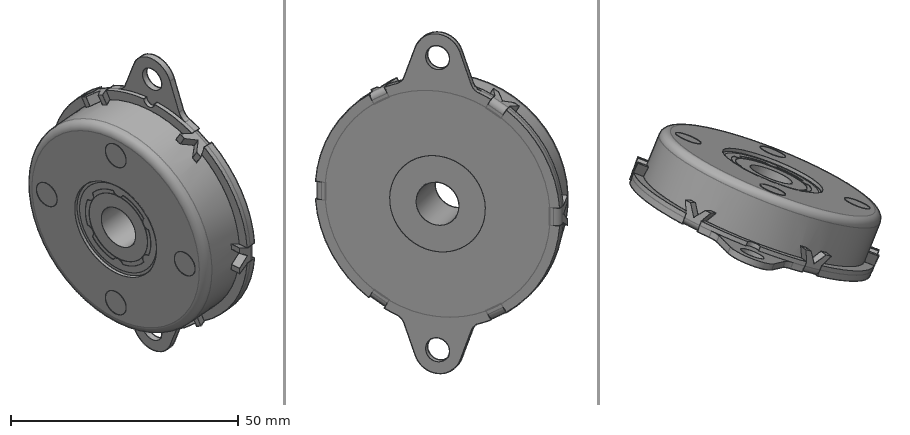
import cadquery as cq
import math


HEIGHT = 13.8
RIM_RADIUS = 28.5
PLATE_THICKNESS = 1.5
FLANGE_THICKNESS = 1.0
RIM_THICKNESS = PLATE_THICKNESS + FLANGE_THICKNESS
CAN_RADIUS = 26.2
CAN_EDGE_FILLET = 2.0
FLANGE_NOTCH_RADIUS = 1.5

EAR_COUNT = 2
EAR_REACH = 39.5
EAR_TIP_RADIUS = 5.5
EAR_HOLE_OFFSET = EAR_REACH - EAR_TIP_RADIUS
EAR_HOLE_RADIUS = 2.8
EAR_SIDE_ANGLE = math.radians(20)
EAR_ROOT_FILLET = 3.0

CLAW_COUNT = 6
CLAW_NECK_WIDTH = 4.1
CLAW_TIP_WIDTH = 6.95
CLAW_TIP_DEPTH = 5.1
CLAW_BEND_RADIUS = PLATE_THICKNESS
CLAW_ROOT_X = math.sqrt(CAN_RADIUS**2 - (CLAW_TIP_WIDTH / 2)**2)

MARK_COUNT = 4
MARK_RADIUS = 3.0
MARK_OFFSET = 20.0
MARK_DEPTH = 0.1

SEAT_RADIUS = 11.85
SEAT_DEPTH = 0.8
ROTOR_RADIUS = 11.1
SPLINE_RADIUS = 9.5
SPLINE_DEPTH = 0.1
TOOTH_COUNT = 6
HUB_RADIUS = 8.45
HUB_DEPTH = 0.15
TOOTH_RADIUS = 1.5
TOOTH_OFFSET = HUB_RADIUS + TOOTH_RADIUS
BORE_RADIUS = 5.0


def disc(radius, back_depth, front_depth, x=0.0, z=0.0):
    """Cylinder along Y between two depths measured forward from the mounting face."""
    return cq.Workplane(cq.Solid.makeCylinder(
        radius, front_depth - back_depth, cq.Vector(x, -back_depth, z), cq.Vector(0, -1, 0)))


def around_axis(shape, count):
    """Copies of a shape spaced evenly about the Y axis."""
    return [shape.rotate((0, 0, 0), (0, 1, 0), i * 360 / count) for i in range(count)]


def ear_profile():
    """Closed outline of the upper ear, from a foot inside the plate up to its round tip."""
    tangent_x = EAR_TIP_RADIUS * math.cos(EAR_SIDE_ANGLE)
    tangent_z = EAR_HOLE_OFFSET + EAR_TIP_RADIUS * math.sin(EAR_SIDE_ANGLE)
    foot_z = RIM_RADIUS / 2
    foot_x = tangent_x + (tangent_z - foot_z) * math.tan(EAR_SIDE_ANGLE)
    return (
        cq.Workplane("XZ")
        .moveTo(-foot_x, foot_z)
        .lineTo(-tangent_x, tangent_z)
        .threePointArc((0, EAR_REACH), (tangent_x, tangent_z))
        .lineTo(foot_x, foot_z)
        .close()
    )


def mounting_plate():
    """Round plate with two filleted, drilled ears."""
    plate = disc(RIM_RADIUS, 0, PLATE_THICKNESS)
    for ear in around_axis(ear_profile().extrude(PLATE_THICKNESS), EAR_COUNT):
        plate = plate.union(ear)
    root_reach = 2 * EAR_TIP_RADIUS
    root_box = cq.selectors.BoxSelector(
        (-root_reach, -PLATE_THICKNESS, -EAR_HOLE_OFFSET), (root_reach, 0, EAR_HOLE_OFFSET))
    plate = plate.edges("|Y").edges(root_box).fillet(EAR_ROOT_FILLET)
    for hole in around_axis(disc(EAR_HOLE_RADIUS, 0, PLATE_THICKNESS, z=EAR_HOLE_OFFSET), EAR_COUNT):
        plate = plate.cut(hole)
    return plate


def flange():
    """Ring in front of the plate, with a round notch in front of each ear."""
    ring = disc(RIM_RADIUS, PLATE_THICKNESS, RIM_THICKNESS)
    notch = disc(FLANGE_NOTCH_RADIUS, PLATE_THICKNESS, RIM_THICKNESS, z=RIM_RADIUS)
    for one_notch in around_axis(notch, EAR_COUNT):
        ring = ring.cut(one_notch)
    return ring


def can():
    """Round can with a rounded front edge."""
    return disc(CAN_RADIUS, 0, HEIGHT).faces("<Y").edges().fillet(CAN_EDGE_FILLET)


def claw_slot():
    """Slot through the rim on the +X side that leaves room for one claw neck."""
    return cq.Workplane("XY").box(
        RIM_RADIUS, RIM_THICKNESS, CLAW_NECK_WIDTH, centered=(False, False, True)
    ).translate((CLAW_ROOT_X, -RIM_THICKNESS, 0))


def claw():
    """Claw on the +X side: a neck bent forward from the plate that forks into two splayed prongs."""
    neck = CLAW_NECK_WIDTH / 2
    tip = CLAW_TIP_WIDTH / 2
    blank = (
        cq.Workplane("YZ", origin=(CLAW_ROOT_X, 0, 0))
        .polyline([
            (0, -neck), (-RIM_THICKNESS, -neck), (-CLAW_TIP_DEPTH, -tip),
            (-CLAW_TIP_DEPTH, -neck), (-RIM_THICKNESS, 0), (-CLAW_TIP_DEPTH, neck),
            (-CLAW_TIP_DEPTH, tip), (-RIM_THICKNESS, neck), (0, neck),
        ])
        .close()
        .extrude(RIM_RADIUS - CLAW_ROOT_X)
    )
    return blank.faces(">Y").edges(">X").fillet(CLAW_BEND_RADIUS)


def make_housing():
    """Plate, flange, can and claws in one piece, with the stepped opening for the rotor."""
    housing = mounting_plate().union(flange(), clean=False)
    for slot in around_axis(claw_slot(), CLAW_COUNT):
        housing = housing.cut(slot, clean=False)
    housing = housing.union(can(), clean=False)
    for one_claw in around_axis(claw(), CLAW_COUNT):
        housing = housing.union(one_claw, clean=False)
    for mark in around_axis(disc(MARK_RADIUS, HEIGHT - MARK_DEPTH, HEIGHT, x=MARK_OFFSET), MARK_COUNT):
        housing = housing.cut(mark, clean=False)
    housing = housing.cut(disc(SEAT_RADIUS, HEIGHT - SEAT_DEPTH, HEIGHT), clean=False)
    return housing.cut(disc(ROTOR_RADIUS, 0, HEIGHT), clean=False)


def make_rotor():
    """Bored rotor, flush with its seat, with a shallow toothed recess around a lower hub face."""
    face_depth = HEIGHT - SEAT_DEPTH
    rotor = disc(ROTOR_RADIUS, 0, face_depth)
    recess = disc(SPLINE_RADIUS, face_depth - SPLINE_DEPTH, face_depth)
    tooth = disc(TOOTH_RADIUS, face_depth - SPLINE_DEPTH, face_depth, z=TOOTH_OFFSET)
    for one_tooth in around_axis(tooth, TOOTH_COUNT):
        recess = recess.cut(one_tooth)
    rotor = rotor.cut(recess)
    rotor = rotor.cut(disc(HUB_RADIUS, face_depth - HUB_DEPTH, face_depth))
    return rotor.cut(disc(BORE_RADIUS, 0, HEIGHT))


housing = make_housing()
rotor = make_rotor()

result = cq.Compound.makeCompound([housing.solids().val(), rotor.solids().val()])